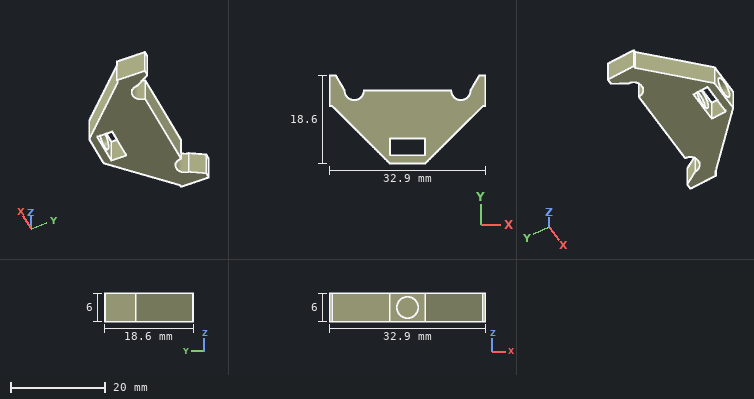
import cadquery as cq

width = 32.85
depth = 18.6
thickness = 6.0
half_width = width / 2

front_half_width = 3.7
side_length = 6.47
shoulder_width = 0.53
tip_width = 1.3
arm_height = 3.2
notch_radius = 2.0
notch_x = 11.25

slot_width = 7.3
slot_length = 3.48
slot_front_wall = 1.8
hole_diameter = 4.5
hole_end_depth = 0.8

rear_y = depth - arm_height
shoulder_y = depth - side_length
slot_rear_y = slot_front_wall + slot_length


def make_plate():
    inner_x = notch_x - notch_radius
    outer_x = notch_x + notch_radius
    notch_bottom = rear_y - notch_radius
    return (
        cq.Workplane("XY")
        .moveTo(-front_half_width, 0)
        .lineTo(front_half_width, 0)
        .lineTo(half_width - shoulder_width, shoulder_y)
        .lineTo(half_width, shoulder_y)
        .lineTo(half_width, depth)
        .lineTo(half_width - tip_width, depth)
        .lineTo(outer_x, rear_y)
        .threePointArc((notch_x, notch_bottom), (inner_x, rear_y))
        .lineTo(-inner_x, rear_y)
        .threePointArc((-notch_x, notch_bottom), (-outer_x, rear_y))
        .lineTo(-half_width + tip_width, depth)
        .lineTo(-half_width, depth)
        .lineTo(-half_width, shoulder_y)
        .lineTo(-half_width + shoulder_width, shoulder_y)
        .close()
        .extrude(thickness)
    )


def make_slot():
    return (
        cq.Workplane("XY")
        .center(0, slot_front_wall + slot_length / 2)
        .rect(slot_width, slot_length)
        .extrude(thickness)
    )


def make_screw_hole():
    return (
        cq.Workplane("XZ")
        .center(0, thickness / 2)
        .circle(hole_diameter / 2)
        .extrude(-(slot_rear_y + hole_end_depth))
    )


result = make_plate().cut(make_slot()).cut(make_screw_hole())